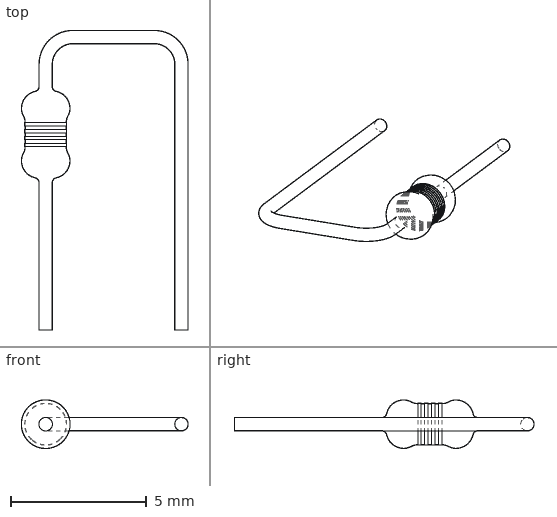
import cadquery as cq
import math

wire_diameter = 0.5
lead_spacing = 5.01
bend_radius = 1.01
overall_length = 11.05
body_to_bend_top = 3.85

crown_diameter = 1.8
barrel_diameter = 1.52
crown_offset = 0.96
dome_radius = 0.65
neck_fillet = 0.17

band_diameter = 1.55
band_width = 0.12
band_pitch = 0.25
band_count = 4

wire_radius = wire_diameter / 2
crown_radius = crown_diameter / 2
barrel_radius = barrel_diameter / 2
barrel_half_length = ((band_count - 1) * band_pitch + band_width) / 2

lead_end_y = body_to_bend_top - overall_length
cross_wire_y = body_to_bend_top - wire_radius


def make_wire():
    """Round wire swept along the straight leads and their two bends."""
    bend_start_y = cross_wire_y - bend_radius
    diagonal_inset = bend_radius * (1 - math.sqrt(0.5))
    path = (
        cq.Workplane("XY")
        .moveTo(0, lead_end_y)
        .lineTo(0, bend_start_y)
        .threePointArc((diagonal_inset, cross_wire_y - diagonal_inset), (bend_radius, cross_wire_y))
        .lineTo(lead_spacing - bend_radius, cross_wire_y)
        .threePointArc(
            (lead_spacing - diagonal_inset, cross_wire_y - diagonal_inset),
            (lead_spacing, bend_start_y),
        )
        .lineTo(lead_spacing, lead_end_y)
    )
    section = cq.Workplane("XZ", origin=(0, lead_end_y, 0)).circle(wire_radius)
    return section.sweep(path)


def make_body():
    """Barrel with flared shoulders, domed crowns and neck fillets, revolved about the wire."""
    shoulder_mid_radius = (barrel_radius + crown_radius) / 2
    shoulder_mid_y = (barrel_half_length + crown_offset) / 2

    dome_center_r = crown_radius - dome_radius
    fillet_center_r = wire_radius + neck_fillet
    center_distance = dome_radius + neck_fillet
    center_rise = fillet_center_r - dome_center_r
    center_run = math.sqrt(center_distance**2 - center_rise**2)
    neck_root_radius = dome_center_r + center_rise * dome_radius / center_distance
    neck_root_y = crown_offset + center_run * dome_radius / center_distance
    neck_end_y = crown_offset + center_run

    return (
        cq.Workplane("XY")
        .moveTo(0, -neck_end_y)
        .lineTo(wire_radius, -neck_end_y)
        .radiusArc((neck_root_radius, -neck_root_y), neck_fillet)
        .tangentArcPoint((crown_radius, -crown_offset), relative=False)
        .tangentArcPoint((shoulder_mid_radius, -shoulder_mid_y), relative=False)
        .tangentArcPoint((barrel_radius, -barrel_half_length), relative=False)
        .lineTo(barrel_radius, barrel_half_length)
        .tangentArcPoint((shoulder_mid_radius, shoulder_mid_y), relative=False)
        .tangentArcPoint((crown_radius, crown_offset), relative=False)
        .tangentArcPoint((neck_root_radius, neck_root_y), relative=False)
        .tangentArcPoint((wire_radius, neck_end_y), relative=False)
        .lineTo(0, neck_end_y)
        .close()
        .revolve(360, (0, 0, 0), (0, 1, 0))
    )


def make_band(center_y):
    """One raised ring around the barrel."""
    return (
        cq.Workplane("XZ", origin=(0, center_y + band_width / 2, 0))
        .circle(band_diameter / 2)
        .extrude(band_width)
    )


result = make_body().union(make_wire())
for index in range(band_count):
    band_center_y = (index - (band_count - 1) / 2) * band_pitch
    result = result.union(make_band(band_center_y))